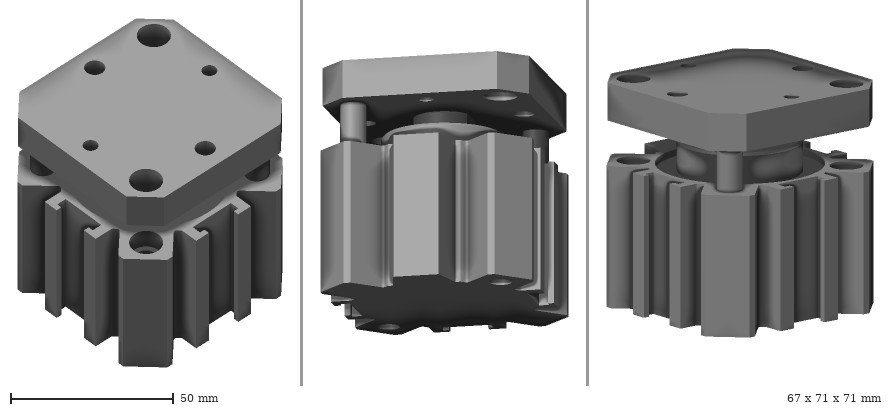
import cadquery as cq
import math

total_height = 71.0
housing_height = 45.0
collar_top = 53.05
plate_thickness = 12.0
plate_bottom = total_height - plate_thickness

housing_width = 67.0
half_width = housing_width / 2
foot_outer = 23.9
foot_inner = 21.7
groove_fillet = 1.0
groove_floor_distance = 27.05
groove_reach = groove_floor_distance * math.sqrt(2)

rib_outer = 11.5
groove_end = groove_reach - rib_outer
slot_half_opening = 6.2
slot_half_width = 8.0
slot_floor = 28.0
lip_thickness = 2.0
front_rib_face = half_width
side_rib_face = 33.2

boss_face = 37.5
boss_half_face = 7.2
boss_half_base = 9.9

corner_offset = 23.3
guide_corners = [(-corner_offset, -corner_offset), (corner_offset, corner_offset)]
bolt_corners = [(-corner_offset, corner_offset), (corner_offset, -corner_offset)]

bolt_hole_diameter = 7.0
bolt_head_diameter = 10.5
bolt_head_depth = 6.5

recess_diameter = 52.5
recess_depth = 2.2
collar_diameter = 39.0
collar_chamfer = 0.85

plate_width = 65.45
plate_chamfer = 8.25
guide_rod_diameter = 8.0
piston_rod_diameter = 20.0
piston_rod_chamfer = 0.5
rod_across_flats = 16.9
rod_flat_height = 4.4
plate_hole_offset = 25.0
side_hole_diameter = 6.5
end_hole_diameter = 4.9


def turned(points, quarter_turns):
    """Rotate plan points about the Z axis by whole quarter turns."""
    for _ in range(quarter_turns):
        points = [(-y, x) for x, y in points]
    return points


def prism(points, height):
    """Closed outline standing on the XY plane."""
    return cq.Workplane("XY").polyline(points).close().extrude(height)


def side_outline(rib_face):
    """Slotted side at -Y, from its left groove floor to its right one."""
    lip_back = rib_face - lip_thickness
    left = [
        (-rib_outer, -groove_end),
        (-rib_outer, -rib_face),
        (-slot_half_opening, -rib_face),
        (-slot_half_opening, -lip_back),
        (-slot_half_width, -lip_back),
        (-slot_half_width, -slot_floor),
    ]
    return left + [(-x, y) for x, y in reversed(left)]


def boss_outline():
    """Side with the tapered port boss, written as if it faced -Y."""
    left = [
        (-rib_outer, -groove_end),
        (-boss_half_base, -groove_end),
        (-boss_half_face, -boss_face),
    ]
    return left + [(-x, y) for x, y in reversed(left)]


def corner_outline():
    """Corner block at +X -Y, between the groove floors on either side of it."""
    neck_half_span = half_width - foot_inner
    neck_near = (groove_reach - neck_half_span) / 2
    neck_far = (groove_reach + neck_half_span) / 2
    return [
        (neck_near, -neck_far),
        (foot_inner, -half_width),
        (foot_outer, -half_width),
        (half_width, -foot_outer),
        (half_width, -foot_inner),
        (neck_far, -neck_near),
    ]


def make_extrusion():
    """Solid prism with the whole housing profile, its groove corners rounded."""
    sides = [
        side_outline(front_rib_face),
        side_outline(side_rib_face),
        boss_outline(),
        side_outline(side_rib_face),
    ]
    outline = []
    for turns, side in enumerate(sides):
        outline += turned(side + corner_outline(), turns)
    extrusion = prism(outline, housing_height)
    groove_edges = [corner_outline()[0], corner_outline()[-1], boss_outline()[0], boss_outline()[-1]]
    for turns in range(len(sides)):
        for x, y in turned(groove_edges, turns):
            edge = cq.selectors.NearestToPointSelector((x, y, housing_height / 2))
            extrusion = extrusion.edges("|Z").edges(edge).fillet(groove_fillet)
    return extrusion


def make_housing():
    """Profile body with mounting holes and the collar in its recess."""
    body = make_extrusion()
    body = (
        body.faces(">Z").workplane(origin=(0, 0, 0))
        .pushPoints(bolt_corners)
        .cboreHole(bolt_hole_diameter, bolt_head_diameter, bolt_head_depth)
    )
    recess_floor = housing_height - recess_depth
    recess = (
        cq.Workplane("XY").workplane(offset=recess_floor)
        .circle(recess_diameter / 2)
        .extrude(recess_depth)
    )
    collar = (
        cq.Workplane("XY").workplane(offset=recess_floor)
        .circle(collar_diameter / 2)
        .extrude(collar_top - recess_floor)
        .faces(">Z").chamfer(collar_chamfer)
    )
    return body.cut(recess).union(collar)


def make_piston_rod():
    """Rod from the collar up to the plate, with two wrench flats below the plate."""
    rod = (
        cq.Workplane("XY").workplane(offset=collar_top)
        .circle(piston_rod_diameter / 2)
        .extrude(plate_bottom - collar_top)
        .faces(">Z").chamfer(piston_rod_chamfer)
    )
    flat_band = (
        cq.Workplane("XY").workplane(offset=plate_bottom - rod_flat_height)
        .rect(2 * piston_rod_diameter, 2 * piston_rod_diameter)
        .rect(rod_across_flats, 2 * piston_rod_diameter)
        .extrude(rod_flat_height)
    )
    return rod.cut(flat_band)


def make_moving_plate():
    """Tooling plate carrying the piston rod and two guide rods."""
    plate = (
        cq.Workplane("XY").workplane(offset=plate_bottom)
        .rect(plate_width, plate_width)
        .extrude(plate_thickness)
        .edges("|Z").chamfer(plate_chamfer)
    )
    hole_groups = [
        (bolt_corners, bolt_head_diameter),
        ([(-plate_hole_offset, 0), (plate_hole_offset, 0)], side_hole_diameter),
        ([(0, -plate_hole_offset), (0, plate_hole_offset)], end_hole_diameter),
    ]
    for centres, diameter in hole_groups:
        plate = plate.faces(">Z").workplane(origin=(0, 0, 0)).pushPoints(centres).hole(diameter)
    guide_rods = (
        cq.Workplane("XY").workplane(offset=housing_height)
        .pushPoints(guide_corners)
        .circle(guide_rod_diameter / 2)
        .extrude(plate_bottom - housing_height)
    )
    return plate.union(guide_rods).union(make_piston_rod())


housing = make_housing()
moving_plate = make_moving_plate()

result = cq.Compound.makeCompound([housing.val(), moving_plate.val()])